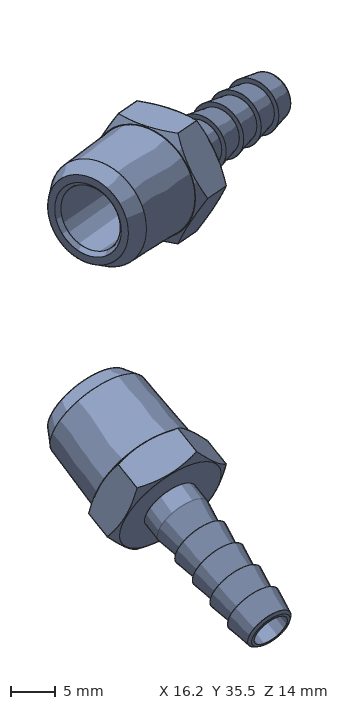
import cadquery as cq
import math

total_length = 35.5

thread_length = 11.0
thread_base_radius = 6.8
thread_end_radius = 6.53
thread_face_radius = 5.45
thread_chamfer_length = 2.0

hex_across_flats = 14.0
hex_length = 5.0
hex_face_radius = 6.9
hex_chamfer_angle = math.radians(30)

barb_count = 5
barb_pitch = 3.4
barb_crest_radius = 7.0 / 2
barb_root_radius = 5.8 / 2
tip_chamfer = 0.3

bore_radius = 4.5 / 2
socket_radius = 4.0
socket_depth = 12.07
socket_mouth_chamfer = 0.5
drill_half_angle = math.radians(59)

hex_end = thread_length + hex_length
barbs_start = total_length - barb_count * barb_pitch
hex_corner_radius = hex_across_flats / math.sqrt(3)


def revolve_profile(points):
    """Revolve a closed (radius, y) outline about the Y axis."""
    return cq.Workplane("XY").polyline(points).close().revolve(360, (0, 0, 0), (0, 1, 0))


def make_thread():
    return revolve_profile([
        (0, 0),
        (thread_face_radius, 0),
        (thread_end_radius, thread_chamfer_length),
        (thread_base_radius, thread_length),
        (0, thread_length),
    ])


def make_hex():
    """Hexagon with corners on +X and -X, both faces turned down by a cone."""
    prism = (
        cq.Workplane("XZ", origin=(0, thread_length, 0))
        .polygon(6, 2 * hex_corner_radius)
        .extrude(-hex_length)
    )
    drop = (hex_corner_radius - hex_face_radius) * math.tan(hex_chamfer_angle)
    turned_blank = revolve_profile([
        (0, thread_length),
        (hex_face_radius, thread_length),
        (hex_corner_radius, thread_length + drop),
        (hex_corner_radius, hex_end - drop),
        (hex_face_radius, hex_end),
        (0, hex_end),
    ])
    return prism.intersect(turned_blank)


def make_tail():
    """Plain neck followed by barbs that taper towards the open end."""
    points = [(0, hex_end), (barb_crest_radius, hex_end)]
    for index in range(barb_count):
        barb_start = barbs_start + index * barb_pitch
        points.append((barb_crest_radius, barb_start))
        points.append((barb_root_radius, barb_start + barb_pitch))
    points.append((0, total_length))
    return revolve_profile(points).faces(">Y").edges().chamfer(tip_chamfer)


def make_bore():
    """Through bore with a wider drilled socket in the threaded end."""
    cone_length = (socket_radius - bore_radius) / math.tan(drill_half_angle)
    return revolve_profile([
        (0, 0),
        (socket_radius + socket_mouth_chamfer, 0),
        (socket_radius, socket_mouth_chamfer),
        (socket_radius, socket_depth),
        (bore_radius, socket_depth + cone_length),
        (bore_radius, total_length),
        (0, total_length),
    ])


body = make_thread().union(make_hex()).union(make_tail())
result = body.cut(make_bore())